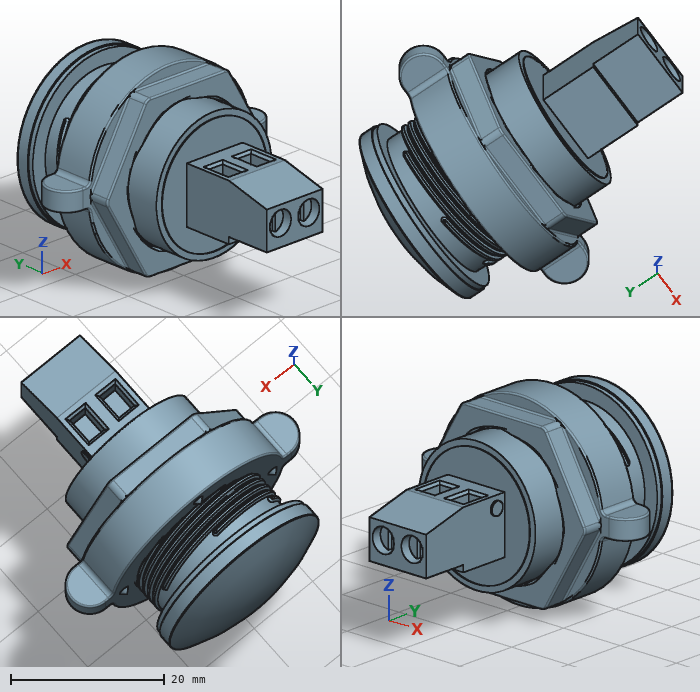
import cadquery as cq
import math


lens_radius = 12.75
lens_rim_height = 0.12
lens_height = 3.1
collar_radius = 12.8
collar_height = 1.88
seat_radius = 12.6
seat_height = 0.79
collar_base_depth = -seat_height
collar_top_depth = collar_base_depth - collar_height

barrel_radius = 10.38
barrel_length = 21.08
thread_starts = 6
thread_lead = 6.2
thread_height = 0.37
thread_root_width = 0.85
thread_crest_width = 0.35
thread_start_depth = 2.25
thread_start_angle = 86.5
thread_overlap = 0.05
thread_clearance = 0.04
thread_inner_radius = barrel_radius - thread_overlap
thread_crest_radius = barrel_radius + thread_height
thread_flank_slope = (thread_root_width - thread_crest_width) / 2 / thread_height

nut_depth = 6.54
nut_ring_length = 6.35
nut_hex_length = 3.175
hex_across_flats = 25.4
hex_corner_radius = 1.15
nut_ring_radius = hex_across_flats / math.sqrt(3)
nut_edge_radius = 0.25
wing_span = 38.1
wing_end_radius = nut_ring_length / 2
wing_thickness = 3.175
wing_root_radius = 0.79
spike_count = 4
spike_circle_radius = 12.7
spike_radius = 0.76
spike_height = 0.64
nut_ring_back_depth = nut_depth + nut_ring_length
nut_back_depth = nut_ring_back_depth + nut_hex_length

thread_length = nut_depth + nut_ring_length / 2 - thread_start_depth

plug_radius = 9.44
plug_recess = 2.0
plug_stand_out = 0.13
plug_face_depth = barrel_length + plug_stand_out

block_width = 10.05
block_length = 15.15
block_top = 4.54
block_bottom = -4.5
block_shoulder = 7.97
block_tip_top = 2.63
block_tip_bottom = -3.46
terminal_pitch = 5.1
screw_radius = 1.9
screw_recess = 1.5
screw_slot_width = 0.95
screw_slot_depth = 0.6
entry_width = 3.45
entry_length = 4.7
entry_bevel = 0.4
entry_depth = 3.0
entry_centre = 4.74
stud_radius = 1.05
stud_height = 0.25
stud_centre = 1.65
stud_level = 2.75


def facing_back(depth):
    """Workplane across the lamp axis: local x is +X, local y is +Z, normal is -Y."""
    return cq.Workplane("XZ", origin=(0, -depth, 0))


def disc(radius, start_depth, end_depth):
    return facing_back(start_depth).circle(radius).extrude(end_depth - start_depth)


def thread_ridge():
    """One helical ridge with a trapezoid section and a round nose, running towards -Y."""
    inner_half = thread_root_width / 2 + thread_overlap * thread_flank_slope
    crest_half = thread_crest_width / 2
    helix = cq.Wire.makeHelix(thread_lead, thread_length, barrel_radius)
    section = cq.Workplane("XZ").polyline([
        (thread_inner_radius, -inner_half),
        (thread_crest_radius, -crest_half),
        (thread_crest_radius, crest_half),
        (thread_inner_radius, inner_half),
    ]).close()
    nose = (
        cq.Workplane("YZ", origin=(thread_inner_radius, 0, 0)).circle(inner_half)
        .workplane(offset=thread_crest_radius - thread_inner_radius).circle(crest_half)
        .loft(ruled=True)
    )
    ridge = section.sweep(cq.Workplane(helix), isFrenet=True).union(nose)
    return ridge.rotate((0, 0, 0), (1, 0, 0), 90).translate((0, -thread_start_depth, 0))


def add_threads(body):
    """Fuse the ridges of all thread starts onto the barrel."""
    ridge = thread_ridge()
    for index in range(thread_starts):
        angle = thread_start_angle + index * 360 / thread_starts
        body = body.union(ridge.rotate((0, 0, 0), (0, -1, 0), angle), clean=False)
    return body


def threaded_core():
    """Solid that fills the nut bore: a lobed section, one lobe per thread start, twisted along its axis."""
    first_angle = thread_start_angle + 360 * (nut_depth - thread_start_depth) / thread_lead
    groove_radius = thread_crest_radius + thread_clearance
    flank_radius = (barrel_radius + groove_radius) / 2
    root_half = thread_root_width / 2 + thread_clearance
    crest_half = thread_crest_width / 2 + thread_clearance
    flank_half = (root_half + crest_half) / 2
    pitch = thread_lead / thread_starts

    def point(radius, offset):
        angle = math.radians(first_angle + 360 * offset / thread_lead)
        return (radius * math.cos(angle), radius * math.sin(angle))

    outline = facing_back(nut_depth).moveTo(*point(barrel_radius, -root_half))
    for index in range(thread_starts):
        centre = index * pitch
        outline = (
            outline
            .threePointArc(
                point(flank_radius, centre - flank_half),
                point(groove_radius, centre - crest_half),
            )
            .threePointArc(point(groove_radius, centre), point(groove_radius, centre + crest_half))
            .threePointArc(
                point(flank_radius, centre + flank_half),
                point(barrel_radius, centre + root_half),
            )
            .threePointArc(
                point(barrel_radius, centre + pitch / 2),
                point(barrel_radius, centre + pitch - root_half),
            )
        )
    length = nut_back_depth - nut_depth
    return outline.close().twistExtrude(length, 360 * length / thread_lead)


def make_lens():
    base_y = -collar_top_depth
    rim_y = base_y + lens_rim_height
    dome_rise = lens_height - lens_rim_height
    dome_radius = (lens_radius ** 2 + dome_rise ** 2) / (2 * dome_rise)
    mid_x = lens_radius / 2
    mid_y = base_y + lens_height - dome_radius + math.sqrt(dome_radius ** 2 - mid_x ** 2)
    return (
        cq.Workplane("XY").moveTo(0, base_y)
        .lineTo(lens_radius, base_y)
        .lineTo(lens_radius, rim_y)
        .threePointArc((mid_x, mid_y), (0, base_y + lens_height))
        .close()
        .revolve(360, (0, 0, 0), (0, 1, 0))
    )


def make_housing():
    body = disc(barrel_radius, 0, barrel_length)
    body = body.union(disc(seat_radius, collar_base_depth, 0))
    body = body.union(disc(collar_radius, collar_top_depth, collar_base_depth))
    body = add_threads(body)
    return body.cut(disc(plug_radius, barrel_length - plug_recess, barrel_length))


def hex_prism(start_depth, end_depth):
    prism = (
        facing_back(start_depth).polygon(6, 2 * nut_ring_radius)
        .extrude(end_depth - start_depth)
    )
    return prism.edges("|Y").fillet(hex_corner_radius)


def nut_ring():
    """Round ring with two wings, all outer edges rounded."""
    ring = disc(nut_ring_radius, nut_depth, nut_ring_back_depth)
    wings = (
        cq.Workplane("XY", origin=(0, -nut_depth - wing_end_radius, -wing_thickness / 2))
        .slot2D(wing_span, 2 * wing_end_radius).extrude(wing_thickness)
    )
    ring = ring.union(wings)
    root_reach = nut_ring_radius + nut_edge_radius
    roots = cq.selectors.BoxSelector(
        (-root_reach, -nut_ring_back_depth, -wing_thickness),
        (root_reach, -nut_depth, wing_thickness),
    )
    ring = ring.edges("|Y").edges(roots).fillet(wing_root_radius)
    return ring.faces("<Y or >Y").edges().fillet(nut_edge_radius)


def hex_foot():
    """Concave fillet around the hexagon where it meets the flat back of the ring."""
    face_radius = nut_ring_radius - nut_edge_radius
    floor = disc(2 * nut_ring_radius, nut_depth, nut_ring_back_depth)
    foot = floor.union(hex_prism(nut_ring_back_depth, nut_back_depth))
    reach = nut_ring_radius + nut_edge_radius
    junction = cq.selectors.BoxSelector(
        (-reach, -nut_ring_back_depth - nut_edge_radius, -reach),
        (reach, -nut_ring_back_depth + nut_edge_radius, reach),
        boundingbox=True,
    )
    trim = disc(
        face_radius,
        nut_ring_back_depth - nut_edge_radius,
        nut_ring_back_depth + nut_edge_radius,
    )
    return foot.edges(junction).fillet(nut_edge_radius).intersect(trim)


def open_bore(blank, core):
    """Remove a core that reaches exactly from the front face of the blank to its back face."""
    skin = core.faces("not |Y").vals()
    end_faces = []
    for side in ("<Y", ">Y"):
        end_face = blank.faces("|Y").faces(side).val()
        mouth = core.faces(side).val().outerWire()
        skin.append(cq.Face.makeFromWires(end_face.outerWire(), end_face.innerWires() + [mouth]))
        end_faces.append(end_face)
    for face in blank.faces().vals():
        if not any(face.isSame(end_face) for end_face in end_faces):
            skin.append(face)
    return cq.Workplane(cq.Solid.makeSolid(cq.Shell.makeShell(skin)))


def make_nut():
    hexagon = hex_prism(nut_ring_back_depth - nut_edge_radius, nut_back_depth)
    hexagon = hexagon.faces("<Y").edges().fillet(nut_edge_radius)
    blank = nut_ring().union(hexagon).union(hex_foot())
    for index in range(spike_count):
        spike = cq.Workplane(cq.Solid.makeCone(
            spike_radius, 0, spike_height,
            cq.Vector(spike_circle_radius, -nut_depth, 0), cq.Vector(0, 1, 0),
        ))
        blank = blank.union(spike.rotate((0, 0, 0), (0, 1, 0), index * 360 / spike_count))
    return open_bore(blank, threaded_core())


def make_plug():
    return disc(plug_radius, barrel_length - plug_recess, plug_face_depth)


def make_terminal_block():
    face_y = -plug_face_depth
    shoulder_y = face_y - block_shoulder
    tip_y = face_y - block_length
    block = (
        cq.Workplane("YZ", origin=(-block_width / 2, 0, 0))
        .polyline([
            (face_y, block_bottom),
            (face_y, block_top),
            (shoulder_y, block_top),
            (tip_y, block_tip_top),
            (tip_y, block_tip_bottom),
            (shoulder_y, block_tip_bottom),
            (shoulder_y, block_bottom),
        ]).close().extrude(block_width)
    )
    for side in (-1, 1):
        centre_x = side * terminal_pitch / 2
        block = block.cut(screw_pocket(centre_x)).cut(wire_entry(centre_x))
    stud = (
        cq.Workplane("YZ", origin=(block_width / 2, face_y - stud_centre, stud_level))
        .circle(stud_radius).extrude(stud_height)
    )
    return block.union(stud)


def screw_pocket(centre_x):
    """Recess down to a screw head, with the screwdriver slot below it."""
    tip_depth = plug_face_depth + block_length
    head_depth = tip_depth - screw_recess
    pocket = disc(screw_radius, head_depth, tip_depth)
    slot = (
        facing_back(head_depth - screw_slot_depth)
        .rect(screw_slot_width, 2 * screw_radius).extrude(screw_slot_depth)
        .intersect(disc(screw_radius, head_depth - screw_slot_depth, tip_depth))
    )
    return pocket.union(slot).translate((centre_x, 0, 0))


def wire_entry(centre_x):
    """Rectangular wire opening with a bevelled mouth."""
    origin = (centre_x, -plug_face_depth - entry_centre, block_top)
    inner_width = entry_width - 2 * entry_bevel
    inner_length = entry_length - 2 * entry_bevel
    shaft = cq.Workplane("XY", origin=origin).rect(inner_width, inner_length).extrude(-entry_depth)
    mouth = (
        cq.Workplane("XY", origin=origin).rect(entry_width, entry_length)
        .workplane(offset=-entry_bevel).rect(inner_width, inner_length).loft(ruled=True)
    )
    return shaft.union(mouth)


lens = make_lens()
housing = make_housing()
nut = make_nut()
plug = make_plug()
terminal_block = make_terminal_block()

bodies = (lens, housing, nut, plug, terminal_block)
result = cq.Compound.makeCompound([body.solids().val() for body in bodies])